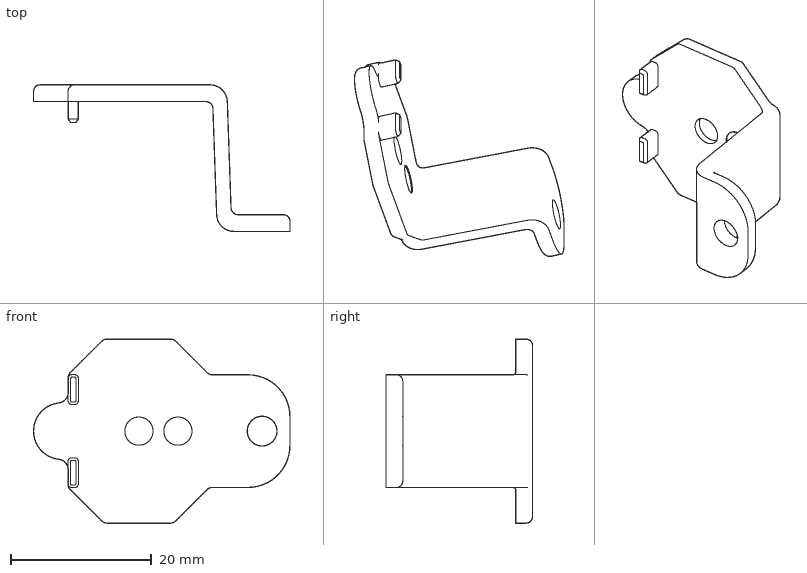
import cadquery as cq
import math

length = 36.48
depth = 20.85
plate_height = 26.2
left_end = -length / 2
right_end = length / 2

thickness = 2.4
leg_thickness = 2.1
leg_angle = 2.0
leg_front_x = 7.22
inner_bend_radius = 1.0
outer_bend_radius = 2.48
back_edge_radius = 0.95

plate_left = -13.3
strip_half_height = 8.03
top_edge_left = -8.2
top_edge_right = 1.68
corner_radius = 1.005
foot_corner_radius = 6.0

ear_radius = 4.05
ear_blend_radius = 1.45

foot_hole_diameter = 4.2
foot_hole_x = 14.25
recess_diameter = 4.0
deep_recess_x = -3.25
deep_recess_depth = 1.0
shallow_recess_x = 2.3
shallow_recess_depth = 0.15

prong_width = 1.45
prong_height = 4.23
prong_length = 3.0
prong_corner_radius = 0.5
prong_tip_inset = 0.35
prong_tip_height = 0.5

plate_front_y = depth - thickness

selection_margin = 0.05


def front_workplane(y):
    """Plane facing -Y at the given depth, with local axes X and Z."""
    return cq.Workplane("XZ", origin=(0, y, 0))


def sheet_profile():
    """Bent Z-shaped section, extruded over the full plate height."""
    lean = math.tan(math.radians(leg_angle))
    leg_width = leg_thickness / math.cos(math.radians(leg_angle))

    def leg_x(y):
        return leg_front_x + (plate_front_y - y) * lean

    plate_outer_bend = (leg_x(depth) + leg_width, depth)
    foot_inner_bend = (leg_x(thickness) + leg_width, thickness)
    foot_outer_bend = (leg_x(0), 0)
    plate_inner_bend = (leg_x(plate_front_y), plate_front_y)
    points = [
        (left_end, depth),
        plate_outer_bend,
        foot_inner_bend,
        (right_end, thickness),
        (right_end, 0),
        foot_outer_bend,
        plate_inner_bend,
        (left_end, plate_front_y),
    ]
    section = cq.Workplane("XY").workplane(offset=-plate_height / 2).polyline(points).close()
    sheet = section.extrude(plate_height)

    bends = [
        (plate_outer_bend, outer_bend_radius),
        (foot_outer_bend, outer_bend_radius),
        (plate_inner_bend, inner_bend_radius),
        (foot_inner_bend, inner_bend_radius),
    ]
    for (x, y), radius in bends:
        nearest = cq.selectors.NearestToPointSelector((x, y, 0))
        sheet = sheet.edges("|Z").edges(nearest).fillet(radius)
    return sheet


def edges_between(block, x_from, x_to, half_height):
    """Edges along Y with X in the given range and |Z| no larger than half_height."""
    low_corner = (x_from - selection_margin, 0, -half_height - selection_margin)
    high_corner = (x_to + selection_margin, depth, half_height + selection_margin)
    return block.edges("|Y").edges(cq.selectors.BoxSelector(low_corner, high_corner))


def outline_block():
    """Outline in X and Z of the whole bracket, extruded over the full depth."""
    half_height = plate_height / 2
    slope_height = half_height - strip_half_height
    slope_right = top_edge_right + slope_height

    octagon_and_strip = [
        (plate_left, strip_half_height),
        (top_edge_left, half_height),
        (top_edge_right, half_height),
        (slope_right, strip_half_height),
        (right_end, strip_half_height),
    ]
    mirrored = [(x, -z) for x, z in reversed(octagon_and_strip)]
    block = front_workplane(depth).polyline(octagon_and_strip + mirrored).close().extrude(depth)
    block = block.edges("|Y").edges(">X").fillet(foot_corner_radius)
    plate_corners = edges_between(block, plate_left, slope_right, half_height)
    block = plate_corners.fillet(corner_radius)

    ear_x = left_end + ear_radius
    ear = front_workplane(depth).center(ear_x, 0).circle(ear_radius).extrude(depth)
    block = block.union(ear)
    ear_roots = edges_between(block, plate_left, plate_left, ear_radius)
    return ear_roots.fillet(ear_blend_radius)


def bent_bracket():
    """Bent sheet cut to the outline, with the edge around its back face rounded."""
    bracket = sheet_profile().intersect(outline_block())
    return bracket.edges(">Y").edges(">Z").fillet(back_edge_radius)


def round_cut(x, front_y, diameter, cut_depth):
    """Cylinder on the middle line that goes cut_depth behind the face at front_y."""
    return front_workplane(front_y + cut_depth).center(x, 0).circle(diameter / 2).extrude(cut_depth)


def prong(side):
    """Prong at the upper (side = 1) or lower (side = -1) end of the left edge."""
    center_x = plate_left + prong_width / 2
    center_z = side * (strip_half_height - prong_height / 2)
    bar = (
        front_workplane(plate_front_y)
        .center(center_x, center_z)
        .rect(prong_width, prong_height)
        .extrude(prong_length)
    )
    bar = bar.edges("|Y").fillet(prong_corner_radius)
    return bar.faces("<Y").chamfer(prong_tip_height, prong_tip_inset)


result = bent_bracket()
for side in (1, -1):
    result = result.union(prong(side))
result = result.cut(round_cut(foot_hole_x, 0, foot_hole_diameter, thickness))
result = result.cut(round_cut(deep_recess_x, plate_front_y, recess_diameter, deep_recess_depth))
result = result.cut(round_cut(shallow_recess_x, plate_front_y, recess_diameter, shallow_recess_depth))